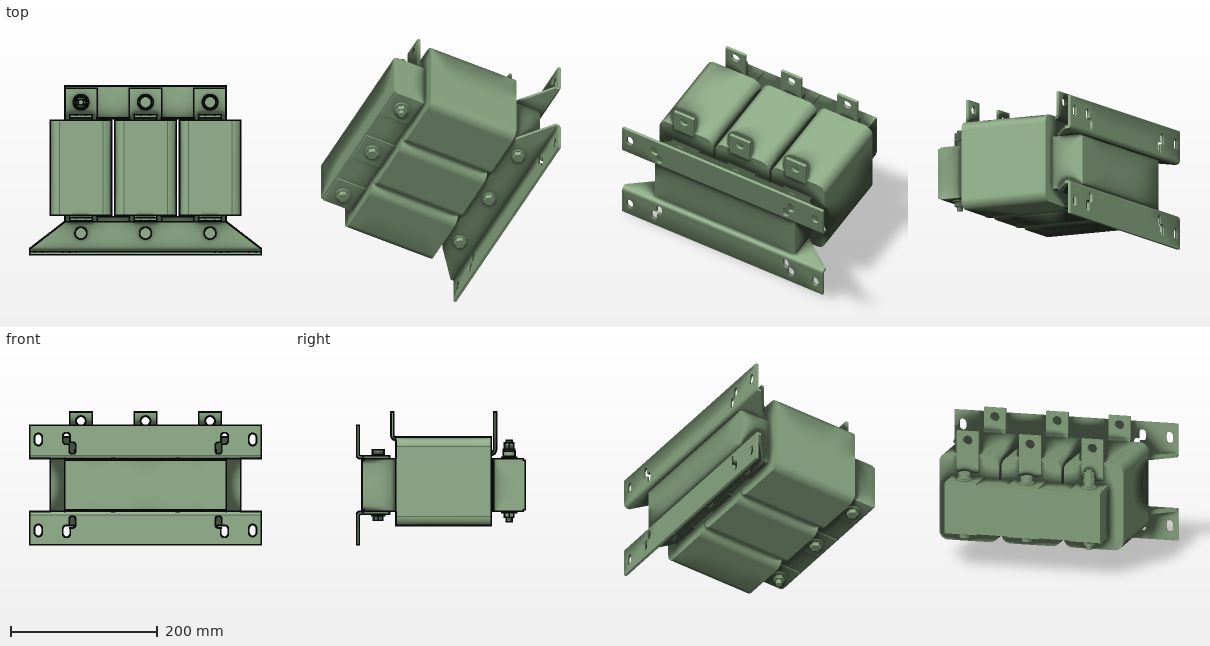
import cadquery as cq
import math


ARC_MIDDLE = math.sqrt(0.5)

PHASE_PITCH = 88.0
LEG_WIDTH = 44.0
CORE_WIDTH = 2 * PHASE_PITCH + LEG_WIDTH
CORE_DEPTH = 223.0
CORE_HEIGHT = 68.0
FRONT_YOKE_DEPTH = 45.0
BACK_YOKE_DEPTH = 43.5
GAP_SHEET_THICKNESS = 1.3
GAP_SHEET_INSET = 0.5

CORE_FRONT = -CORE_DEPTH / 2
CORE_BACK = CORE_DEPTH / 2
CORE_TOP = CORE_HEIGHT / 2
PHASE_X = [-PHASE_PITCH, 0.0, PHASE_PITCH]

STRIP_THICKNESS = 2.0
STRIP_END_INSET = 3.0
STRIP_TOP = CORE_TOP + STRIP_THICKNESS

COIL_WIDTH = 84.0
COIL_LENGTH = 130.0
COIL_HEIGHT = 121.0
COIL_RISE = 5.1
COIL_CORNER_RADIUS = 12.5

TERMINAL_WIDTH = 31.0
TERMINAL_THICKNESS = 4.0
TERMINAL_TOP = 99.75
TERMINAL_OUTER_Y = 72.0
TERMINAL_BEND_RADIUS = 8.0
BACK_BEND_Z = 48.5
FRONT_BEND_Z = 68.5
TERMINAL_HOLE_DIAMETER = 13.0
TERMINAL_HOLE_FROM_TOP = 12.5

OVERALL_HEIGHT = 181.5
BRACKET_LENGTH = 316.0
BRACKET_THICKNESS = 4.0
BRACKET_FRONT = -118.8
BRACKET_BACK = -73.5
BRACKET_FLARE_Y = -110.5
BRACKET_REACH_Z = OVERALL_HEIGHT - TERMINAL_TOP
BRACKET_INNER_RADIUS = 0.5
BRACKET_OUTER_RADIUS = BRACKET_INNER_RADIUS + BRACKET_THICKNESS
BRACKET_FACE = STRIP_TOP + BRACKET_THICKNESS

SLOT_WIDTH = 10.0
SLOT_HEIGHT = 16.0
END_SLOT = (146.0, 62.0)
KEY_SLOT_OUTER = (107.7, 63.2)
KEY_SLOT_INNER = (99.6, 50.4)
KEY_SLOT_INNER_WIDTH = 9.0

BOLT_Y = 89.2
HEAD_DIAMETER = 16.2
HEAD_HEIGHT = 7.2
COLLAR_DIAMETER = 13.0
COLLAR_HEIGHT = 1.0
WASHER_DIAMETER = 20.8
FRONT_WASHER_DIAMETER = 18.0
WASHER_THICKNESS = 2.0
NUT_FLATS = 13.0
NUT_HEIGHT = 6.2
STUD_DIAMETER = 8.0
STUD_TOP = 60.8
STUD_BOTTOM = -50.3
STUD_LOWER_NUT_HEIGHT = 8.0
STUD_MID_WASHER_DIAMETER = 16.0
STUD_MID_WASHER_THICKNESS = 2.8
STUD_UPPER_NUT_HEIGHT = 8.6


def box(x_range, y_range, z_range):
    """Axis-aligned box from three (low, high) pairs."""
    size = [high - low for low, high in (x_range, y_range, z_range)]
    corner = (x_range[0], y_range[0], z_range[0])
    return cq.Workplane("XY").box(*size, centered=False).translate(corner)


def centred(size):
    return (-size / 2, size / 2)


def disc(x, y, z, diameter, height):
    """Vertical cylinder standing on z; a negative height hangs down."""
    return cq.Workplane("XY", origin=(x, y, z)).circle(diameter / 2).extrude(height)


def hexagon(x, y, z, height):
    """Hexagonal nut with a corner pointing along -X and +X."""
    across_corners = NUT_FLATS / math.cos(math.pi / 6)
    return cq.Workplane("XY", origin=(x, y, z)).polygon(6, across_corners).extrude(height)


def make_core():
    gap_back = CORE_BACK - BACK_YOKE_DEPTH
    gap_front = gap_back - GAP_SHEET_THICKNESS
    z_range = centred(CORE_HEIGHT)
    core = box(centred(CORE_WIDTH), (CORE_FRONT, CORE_FRONT + FRONT_YOKE_DEPTH), z_range)
    core = core.union(box(centred(CORE_WIDTH), (gap_back, CORE_BACK), z_range))
    for x in PHASE_X:
        leg_x = (x - LEG_WIDTH / 2, x + LEG_WIDTH / 2)
        core = core.union(box(leg_x, (CORE_FRONT, gap_front), z_range))
    gap_sheet = box(
        centred(CORE_WIDTH - 2 * GAP_SHEET_INSET),
        (gap_front, gap_back),
        centred(CORE_HEIGHT - 2 * GAP_SHEET_INSET),
    )
    return core.union(gap_sheet)


def make_strips(x):
    """Upper and lower insulating strips of one leg."""
    return box(
        (x - LEG_WIDTH / 2, x + LEG_WIDTH / 2),
        centred(CORE_DEPTH - 2 * STRIP_END_INSET),
        centred(2 * STRIP_TOP),
    ).cut(box(centred(2 * CORE_WIDTH), centred(CORE_DEPTH), centred(CORE_HEIGHT)))


def make_coil(x):
    coil = cq.Workplane("XY").box(COIL_WIDTH, COIL_LENGTH, COIL_HEIGHT)
    return coil.edges("|Y").fillet(COIL_CORNER_RADIUS).translate((x, 0, COIL_RISE))


def make_terminal(x, side, bend_z):
    """Terminal bar on the back (side = 1) or front (side = -1) coil face."""
    outer = TERMINAL_OUTER_Y
    inner = outer - TERMINAL_THICKNESS
    centre_y = outer - TERMINAL_BEND_RADIUS
    inner_radius = TERMINAL_BEND_RADIUS - TERMINAL_THICKNESS
    outer_offset = TERMINAL_BEND_RADIUS * ARC_MIDDLE
    inner_offset = inner_radius * ARC_MIDDLE
    profile = (
        cq.Workplane("YZ")
        .moveTo(side * outer, TERMINAL_TOP)
        .lineTo(side * outer, bend_z)
        .threePointArc(
            (side * (centre_y + outer_offset), bend_z - outer_offset),
            (side * centre_y, bend_z - TERMINAL_BEND_RADIUS),
        )
        .lineTo(side * centre_y, bend_z - inner_radius)
        .threePointArc(
            (side * (centre_y + inner_offset), bend_z - inner_offset),
            (side * inner, bend_z),
        )
        .lineTo(side * inner, TERMINAL_TOP)
        .close()
    )
    bar = profile.extrude(TERMINAL_WIDTH / 2, both=True)
    hole = (
        cq.Workplane("XZ")
        .center(0, TERMINAL_TOP - TERMINAL_HOLE_FROM_TOP)
        .circle(TERMINAL_HOLE_DIAMETER / 2)
        .extrude(CORE_DEPTH, both=True)
    )
    return bar.cut(hole).translate((x, 0, 0))


def bracket_slot(centre, width):
    slot = cq.Workplane("XZ").center(*centre).slot2D(SLOT_HEIGHT, width, 90)
    return slot.extrude(CORE_DEPTH, both=True)


def make_slot_cutter():
    """Slots of the right half: an end slot and a stepped key slot."""
    cutter = bracket_slot(END_SLOT, SLOT_WIDTH)
    cutter = cutter.union(bracket_slot(KEY_SLOT_OUTER, SLOT_WIDTH))
    cutter = cutter.union(bracket_slot(KEY_SLOT_INNER, KEY_SLOT_INNER_WIDTH))
    step = box(
        (KEY_SLOT_INNER[0], KEY_SLOT_OUTER[0]),
        centred(CORE_DEPTH * 2),
        (KEY_SLOT_OUTER[1] - SLOT_HEIGHT / 2, KEY_SLOT_INNER[1] + SLOT_HEIGHT / 2),
    )
    return cutter.union(step)


def make_upper_bracket():
    wall_back = BRACKET_FRONT + BRACKET_THICKNESS
    angle = (
        cq.Workplane("YZ")
        .moveTo(BRACKET_BACK, STRIP_TOP)
        .lineTo(BRACKET_FRONT, STRIP_TOP)
        .lineTo(BRACKET_FRONT, BRACKET_REACH_Z)
        .lineTo(wall_back, BRACKET_REACH_Z)
        .lineTo(wall_back, BRACKET_FACE)
        .lineTo(BRACKET_BACK, BRACKET_FACE)
        .close()
        .extrude(BRACKET_LENGTH / 2, both=True)
    )
    angle = angle.edges(cq.selectors.NearestToPointSelector((0, BRACKET_FRONT, STRIP_TOP)))
    angle = angle.fillet(BRACKET_OUTER_RADIUS)
    angle = angle.edges(cq.selectors.NearestToPointSelector((0, wall_back, BRACKET_FACE)))
    angle = angle.fillet(BRACKET_INNER_RADIUS)
    plan = (
        cq.Workplane("XY")
        .moveTo(-CORE_WIDTH / 2, BRACKET_BACK)
        .lineTo(-BRACKET_LENGTH / 2, BRACKET_FLARE_Y)
        .lineTo(-BRACKET_LENGTH / 2, BRACKET_FRONT)
        .lineTo(BRACKET_LENGTH / 2, BRACKET_FRONT)
        .lineTo(BRACKET_LENGTH / 2, BRACKET_FLARE_Y)
        .lineTo(CORE_WIDTH / 2, BRACKET_BACK)
        .close()
        .extrude(BRACKET_REACH_Z)
    )
    slots = make_slot_cutter()
    return angle.intersect(plan).cut(slots).cut(slots.mirror("YZ"))


def make_cap_head(x, y, seat_z):
    """Round bolt head on a narrower collar."""
    collar = disc(x, y, seat_z, COLLAR_DIAMETER, COLLAR_HEIGHT)
    return collar.union(disc(x, y, seat_z + COLLAR_HEIGHT, HEAD_DIAMETER, HEAD_HEIGHT))


def make_lower_nut(x, y, seat_z, washer_diameter):
    """Washer and nut hanging below seat_z."""
    washer = disc(x, y, seat_z, washer_diameter, -WASHER_THICKNESS)
    return washer.union(hexagon(x, y, seat_z - WASHER_THICKNESS, -NUT_HEIGHT))


def make_front_bolt(x):
    head = make_cap_head(x, -BOLT_Y, BRACKET_FACE)
    return head.union(make_lower_nut(x, -BOLT_Y, -BRACKET_FACE, FRONT_WASHER_DIAMETER))


def make_back_bolt(x):
    washer = disc(x, BOLT_Y, STRIP_TOP, WASHER_DIAMETER, WASHER_THICKNESS)
    head = make_cap_head(x, BOLT_Y, STRIP_TOP + WASHER_THICKNESS)
    return washer.union(head).union(make_lower_nut(x, BOLT_Y, -STRIP_TOP, WASHER_DIAMETER))


def make_back_stud(x):
    """Earthing stud: washer, nut, washer and nut stacked on a threaded rod."""
    stud = disc(x, BOLT_Y, STUD_BOTTOM, STUD_DIAMETER, STUD_TOP - STUD_BOTTOM)
    stud = stud.union(make_lower_nut(x, BOLT_Y, -STRIP_TOP, WASHER_DIAMETER))
    z = STRIP_TOP
    stud = stud.union(disc(x, BOLT_Y, z, WASHER_DIAMETER, WASHER_THICKNESS))
    z += WASHER_THICKNESS
    stud = stud.union(hexagon(x, BOLT_Y, z, STUD_LOWER_NUT_HEIGHT))
    z += STUD_LOWER_NUT_HEIGHT
    stud = stud.union(disc(x, BOLT_Y, z, STUD_MID_WASHER_DIAMETER, STUD_MID_WASHER_THICKNESS))
    z += STUD_MID_WASHER_THICKNESS
    return stud.union(hexagon(x, BOLT_Y, z, STUD_UPPER_NUT_HEIGHT))


result = make_core()
for phase_x in PHASE_X:
    result = result.union(make_strips(phase_x))
    result = result.union(make_coil(phase_x))
    result = result.union(make_terminal(phase_x, 1, BACK_BEND_Z))
    result = result.union(make_terminal(phase_x, -1, FRONT_BEND_Z))

upper_bracket = make_upper_bracket()
result = result.union(upper_bracket).union(upper_bracket.mirror("XY"))

for phase_x in PHASE_X:
    result = result.union(make_front_bolt(phase_x))
result = result.union(make_back_stud(PHASE_X[0]))
for phase_x in PHASE_X[1:]:
    result = result.union(make_back_bolt(phase_x))